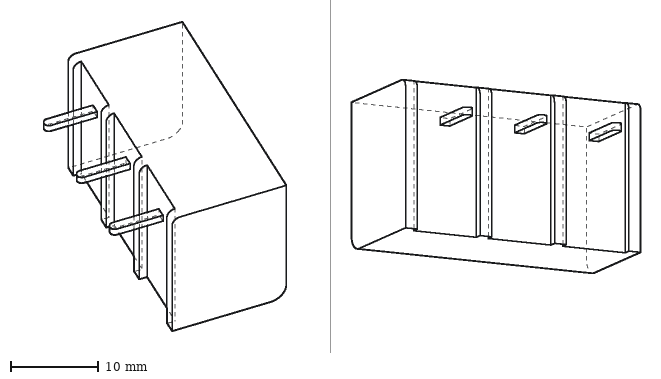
import cadquery as cq

LENGTH = 30.0
HEIGHT = 17.6
OVERALL_DEPTH = 19.7
REAR_EDGE_RADIUS = 2.0

POLE_COUNT = 3
RIB_WIDTH = 1.5
RIB_PROJECTION = 1.0
POLE_PITCH = (LENGTH - RIB_WIDTH) / POLE_COUNT

PIN_WIDTH = 1.2
PIN_THICKNESS = 0.9
PIN_LENGTH = 6.4
PIN_DROP = 4.4

BLOCK_DEPTH = OVERALL_DEPTH - PIN_LENGTH
PIN_CENTRE_Z = HEIGHT - PIN_DROP


def make_rib(left_x):
    """Full-height rib whose top outer edge is rounded over its whole projection."""
    return (
        cq.Workplane("YZ")
        .lineTo(-RIB_PROJECTION, 0)
        .lineTo(-RIB_PROJECTION, HEIGHT - RIB_PROJECTION)
        .radiusArc((0, HEIGHT), RIB_PROJECTION)
        .close()
        .extrude(RIB_WIDTH)
        .translate((left_x, 0, 0))
    )


def make_housing():
    """Block with a rounded lower rear edge and standoff ribs; mounting face at Y = 0."""
    housing = (
        cq.Workplane("XY")
        .box(LENGTH, BLOCK_DEPTH, HEIGHT, centered=False)
        .faces(">Y")
        .edges("<Z")
        .fillet(REAR_EDGE_RADIUS)
    )
    for index in range(POLE_COUNT + 1):
        housing = housing.union(make_rib(index * POLE_PITCH))
    return housing


def make_pin(centre_x):
    """Flat pin seated on the mounting face, with a full-round tip toward -Y."""
    half_width = PIN_WIDTH / 2
    shoulder_y = half_width - PIN_LENGTH
    return (
        cq.Workplane("XY")
        .moveTo(-half_width, 0)
        .lineTo(-half_width, shoulder_y)
        .threePointArc((0, -PIN_LENGTH), (half_width, shoulder_y))
        .lineTo(half_width, 0)
        .close()
        .extrude(PIN_THICKNESS)
        .translate((centre_x, 0, PIN_CENTRE_Z - PIN_THICKNESS / 2))
    )


housing = make_housing()

pins = []
for pole in range(POLE_COUNT):
    pole_centre_x = RIB_WIDTH / 2 + (pole + 0.5) * POLE_PITCH
    pins.append(make_pin(pole_centre_x).val())

result = cq.Compound.makeCompound([housing.val(), *pins])